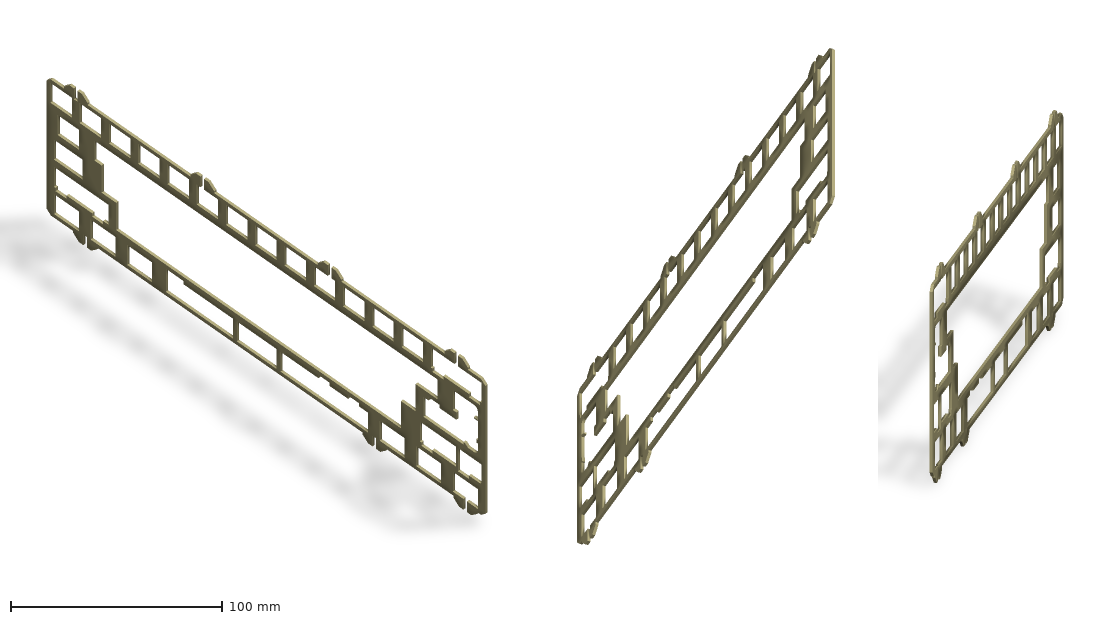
import cadquery as cq

length = 285.8
units_across = 15
rows = 5
unit = length / units_across
height = rows * unit
overall_height = 105.2
thickness = 1.5
corner_chamfer = 3

edge_margin = 2.5
key_size = unit - 2 * edge_margin
half_key = key_size / 2

notch_width = 7.1
notch_depth = 2.3
stab_offset = 0.625 * unit

tab_height = (overall_height - height) / 2
tab_step = 1.3
tab_base_width = 15.5
tab_tip_width = 8.0
slit_width = 2.3


def row_bottom(row):
    """Lower edge of the key openings in a row, counting rows from the top."""
    return height - (row + 1) * unit + edge_margin


def row_top(row):
    return row_bottom(row) + key_size


def key_left(center):
    """Left edge of a key opening whose centre is given in key units."""
    return center * unit - half_key


def key_right(center):
    return center * unit + half_key


def box(left, right, bottom, top):
    """Block through the sheet thickness."""
    block = cq.Workplane("XY").box(right - left, thickness, top - bottom, centered=False)
    return block.translate((left, 0, bottom))


def prism(points):
    """Polygon in XZ, extruded through the sheet thickness."""
    return cq.Workplane("XZ", origin=(0, thickness, 0)).polyline(points).close().extrude(thickness)


def window(row, left, right):
    """Opening one key high in the given row."""
    return box(left, right, row_bottom(row), row_top(row))


def notch(center, edge):
    """Stabiliser notch reaching past an edge of a key opening."""
    return box(center - notch_width / 2, center + notch_width / 2, edge - notch_depth, edge + notch_depth)


def notch_below(row, center):
    return notch(center, row_bottom(row))


def notch_above(row, center):
    return notch(center, row_top(row))


def tab(center, edge, outward):
    """Tapered tab on a long edge; outward is +1 for the top edge and -1 for the bottom edge."""
    half_base = tab_base_width / 2
    half_tip = tab_tip_width / 2
    root = -edge_margin / 2
    profile = [
        (-half_base, root),
        (-half_base, tab_step),
        (-half_tip, tab_height),
        (half_tip, tab_height),
        (half_base, tab_step),
        (half_base, root),
    ]
    return prism([(center + x, edge + outward * z) for x, z in profile])


def slit(center, edge, outward):
    """Narrow cut that splits a tab and the margin behind it."""
    ends = sorted([edge - outward * edge_margin, edge + outward * tab_height])
    return box(center - slit_width / 2, center + slit_width / 2, ends[0], ends[1])


plate = box(0, length, 0, height).edges("|Y").chamfer(corner_chamfer)

single_keys = 13
for column in range(single_keys):
    plate = plate.cut(window(0, key_left(column + 0.5), key_right(column + 0.5)))
backspace_center = 14
plate = plate.cut(window(0, key_left(backspace_center - 0.5), key_right(backspace_center + 0.5)))
for side in (-1, 1):
    plate = plate.cut(notch_below(0, backspace_center * unit + side * stab_offset))

opening_top = row_top(1)
for row, first, last in ((1, 2, 13), (2, 2.25, 12.25), (3, 2.75, 11.75)):
    plate = plate.cut(box(key_left(first), key_right(last), row_bottom(row), opening_top))
    opening_top = row_bottom(row)

plate = plate.cut(window(1, key_left(0.75), key_right(0.75)))
plate = plate.cut(window(2, key_left(0.625), key_right(0.875)))

left_shift_center = 1.125
plate = plate.cut(window(3, key_left(0.625), key_right(1.75)))
for side in (-1, 1):
    plate = plate.cut(notch_below(3, left_shift_center * unit + side * stab_offset))

right_shift_center = 13.625
side_key_chamfer = 1.0
right_shift_stab = right_shift_center * unit + stab_offset
plate = plate.cut(window(3, key_left(13.125), key_right(right_shift_center)))
plate = plate.cut(notch_below(3, right_shift_center * unit - stab_offset))
side_key = window(3, right_shift_stab - notch_width / 2, key_right(14.5))
plate = plate.cut(side_key.edges("|Y and >X and <Z").chamfer(side_key_chamfer))
plate = plate.cut(notch_below(3, right_shift_stab))

for narrow, wide in ((0.625, 0.75), (1.875, 2), (3.125, 3.25)):
    left = key_left(narrow)
    right = key_right(wide)
    plate = plate.cut(window(4, left, right))
    plate = plate.cut(window(4, length - right, length - left))

web = 2.5
short_bar_center = 6.875
long_bar_center = 7.5
short_offset = 49.7
long_offset = 3 * unit
bar_left = short_bar_center * unit - short_offset - notch_width / 2
bar_right = 209.2
middle_left = key_left(short_bar_center)
middle_right = key_right(long_bar_center)
plate = plate.cut(window(4, bar_left, middle_left - web))
plate = plate.cut(window(4, middle_left, middle_right))
plate = plate.cut(window(4, middle_right + web, bar_right))
for center, offset in ((short_bar_center, short_offset), (long_bar_center, long_offset)):
    for side in (-1, 1):
        plate = plate.cut(notch_above(4, center * unit + side * offset))

enter_radius = 2.5
tall_enter_center = 14.375
wide_enter_center = 13.875
enter_right = key_right(tall_enter_center)
enter = window(1, key_left(14.25), enter_right)
enter = enter.union(box(key_left(tall_enter_center), enter_right, row_bottom(2), row_top(1)))
enter = enter.union(window(2, key_left(13.25), enter_right))
enter = enter.edges("|Y and >X").fillet(enter_radius)
enter = enter.union(notch_above(2, wide_enter_center * unit - stab_offset))
plate = plate.cut(enter)

tooth_length = 2.5
tooth_thickness = 1.0
tooth_z = 64.5
bump_z = 49.7
bump_size = 2.5
bump_depth = 1.0
tooth_bottom = tooth_z - tooth_thickness / 2
bump_bottom = bump_z - bump_size / 2
tooth_root = enter_right + edge_margin
plate = plate.union(box(enter_right - tooth_length, tooth_root, tooth_bottom, tooth_bottom + tooth_thickness))
plate = plate.union(box(enter_right - bump_depth, tooth_root, bump_bottom, bump_bottom + bump_size))
spur_left = 271.5
spur_top = 1.7
spur_tip_width = 1.1
spur_width = 3
opening_floor = row_bottom(2)
spur_root = opening_floor - edge_margin
spur_tip = opening_floor + spur_top
spur = [
    (spur_left, spur_root),
    (spur_left, spur_tip),
    (spur_left + spur_tip_width, spur_tip),
    (spur_left + spur_width, opening_floor),
    (spur_left + spur_width, spur_root),
]
plate = plate.union(prism(spur))

inner_tab = 101.5
top_tabs = (unit, inner_tab, length - inner_tab, length - unit)
bottom_tabs = (25.1, 11.2 * unit, 272.5)
for centers, edge, outward in ((top_tabs, height, 1), (bottom_tabs, 0, -1)):
    for center in centers:
        plate = plate.union(tab(center, edge, outward)).cut(slit(center, edge, outward))

result = plate.translate((-length / 2, -thickness / 2, -height / 2))